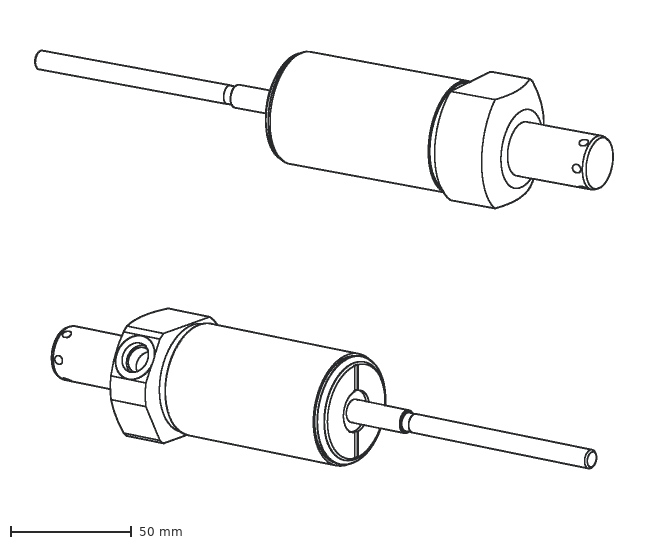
import cadquery as cq
import math

rod_step_x = 95.8
body_x = 122.3
cap_length = 4.5
body_end_x = 204.0
head_x = 207.3
head_end_x = 234.7
total_length = 272.47

rod_radius = 4.0
rod_end_chamfer = 0.8
neck_length = 3.6
neck_radius = 3.9
guide_radius = 4.9
guide_chamfer = 0.4

body_diameter = 47.37
body_radius = body_diameter / 2
cap_radius = 22.9
cap_fillet = 1.9
relief_radius = 22.7
relief_length = 1.4
barrel_chamfer = 0.3
plug_radius = 20.8
plug_chamfer = 0.9
plug_height = 1.1
groove_radius = 22.9
recess_radius = 8.9
recess_depth = 1.5
slot_width = 2.4
slot_outer_radius = plug_radius - plug_chamfer
slot_depth = 0.5

head_diameter = 57.15
head_radius = head_diameter / 2
head_height = body_diameter
head_offset = 4.07
side_flat_distance = 26.9
side_flat_angle = 30
cone_slope = math.tan(math.radians(60))
cone_end_radius = 16.6

port_from_head = 9.3
port_x = head_x + port_from_head
counterbore_radius = 6.4
counterbore_depth = 3.7
port_bore_radius = 5.5
port_bore_depth = 10.0
spotface_radius = 9.5
spotface_depth = 0.2

nose_radius = 11.4
nose_chamfer_length = 1.4
nose_chamfer_height = 0.6
dimple_count = 6
dimple_radius = 2.0
dimple_depth = 2.0
dimple_from_end = 4.2


def cylinder(x_start, x_end, radius):
    return cq.Workplane("YZ").workplane(offset=x_start).circle(radius).extrude(x_end - x_start)


def make_rod():
    neck_x = rod_step_x - neck_length
    rod = cylinder(0, neck_x, rod_radius).faces("<X").chamfer(rod_end_chamfer)
    neck = cylinder(neck_x, rod_step_x, neck_radius)
    guide = cylinder(rod_step_x, body_x + cap_length, guide_radius).faces("<X").chamfer(guide_chamfer)
    return rod.union(neck).union(guide)


def make_body():
    shoulder_x = body_x + cap_length
    relief_x = shoulder_x - relief_length
    plug = cylinder(body_x, relief_x, plug_radius).faces("<X").chamfer(plug_chamfer)
    cap = cylinder(body_x + plug_height, relief_x, cap_radius).faces("<X").edges().fillet(cap_fillet)
    relief = cylinder(relief_x, shoulder_x, relief_radius)
    barrel = cylinder(shoulder_x, body_end_x, body_radius).faces(">X").chamfer(barrel_chamfer)
    groove = cylinder(body_end_x, head_x, groove_radius)
    body = plug.union(cap).union(relief).union(barrel).union(groove)
    slot = cq.Workplane("XY").box(
        slot_depth, slot_width, 2 * slot_outer_radius, centered=(False, True, True)
    )
    recess = cylinder(body_x, body_x + recess_depth, recess_radius)
    return body.cut(slot.translate((body_x, 0, 0))).cut(recess)


def make_head():
    length = head_end_x - head_x
    head = (
        cq.Workplane("YZ").workplane(offset=head_x).center(head_offset, 0)
        .circle(head_radius).extrude(length)
    )
    block = cq.Workplane("XY").box(length, 4 * head_radius, head_height)
    head = head.intersect(block.translate((head_x + length / 2, 0, 0)))
    for angle in (side_flat_angle, -side_flat_angle):
        cutter = (
            cq.Workplane("XY").box(length, head_radius, 2 * head_radius)
            .translate((head_x + length / 2, side_flat_distance + head_radius / 2, 0))
            .rotate((0, 0, 0), (1, 0, 0), angle)
            .translate((0, head_offset, 0))
        )
        head = head.cut(cutter)
    cone_base_radius = cone_end_radius + length * cone_slope
    cone = (
        cq.Workplane("XY")
        .moveTo(head_x, 0)
        .lineTo(head_x, cone_base_radius)
        .lineTo(head_end_x, cone_end_radius)
        .lineTo(head_end_x, 0)
        .close()
        .revolve(360, (0, 0, 0), (1, 0, 0))
    )
    return head.intersect(cone)


def port_cutter():
    angle = math.radians(side_flat_angle)
    normal = cq.Vector(0, math.cos(angle), math.sin(angle))
    mouth = cq.Vector(port_x, head_offset, 0) + normal * side_flat_distance
    plane = cq.Plane(origin=mouth.toTuple(), xDir=(1, 0, 0), normal=normal.toTuple())
    spotface = cq.Workplane(plane).circle(spotface_radius).extrude(-spotface_depth)
    counterbore = cq.Workplane(plane).circle(counterbore_radius).extrude(-counterbore_depth)
    bore = cq.Workplane(plane).circle(port_bore_radius).extrude(-port_bore_depth)
    return spotface.union(counterbore).union(bore)


def make_nose():
    nose = (
        cylinder(head_end_x, total_length, nose_radius)
        .faces(">X").chamfer(nose_chamfer_length, nose_chamfer_height)
    )
    dimple_x = total_length - dimple_from_end
    dimple = cq.Workplane(
        cq.Solid.makeCone(
            0,
            2 * dimple_radius,
            2 * dimple_depth,
            pnt=cq.Vector(dimple_x, dimple_depth - nose_radius, 0),
            dir=cq.Vector(0, -1, 0),
        )
    )
    for i in range(dimple_count):
        nose = nose.cut(dimple.rotate((0, 0, 0), (1, 0, 0), i * 360 / dimple_count))
    return nose


result = make_body().union(make_rod()).union(make_head()).union(make_nose()).cut(port_cutter())